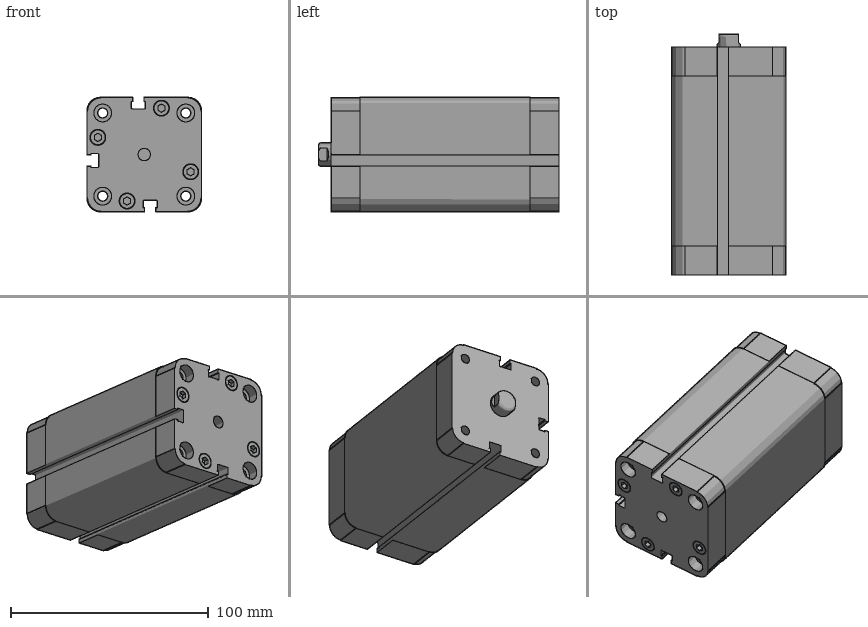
import cadquery as cq
import math


side = 58.1
cap_side = 58.0
overall_length = 122.0
rod_length = 6.5
housing_length = overall_length - rod_length
cap_length = 14.75
corner_radius = 7.0
cap_corner_radius = 6.6
half_side = side / 2
front_y = -overall_length / 2
rear_y = front_y + housing_length
corner_centre = half_side - corner_radius

slot_offset = 3.0
slot_mouth_width = 5.6
slot_inner_width = 7.0
slot_lip_thickness = 2.2
slot_depth = 5.9
slot_floor_radius = 0.4
slot_lip_radius = 0.3
slot_turns = (0, 90, 180)

mount_spacing = 42.1
mount_hole_diameter = 4.92
mount_bore_diameter = 9.0
mount_bore_depth = 5.7

screw_x = 8.7
screw_z = 23.5
screw_recess_diameter = 8.0
screw_head_diameter = 7.5
screw_head_height = 4.0
hex_across_flats = 3.6
hex_depth = 2.5
screw_turns = (0, 90, 180, 270)

centre_hole_diameter = 6.25
centre_hole_depth = 8.0

rod_diameter = 12.0
rod_end_radius = 1.5
rod_flat_width = 10.0
rod_flat_length = 4.3


def section(y):
    """Sketch plane across the axis at y: local x is X, local y is Z, extrusion runs toward -Y."""
    return cq.Workplane("XZ", origin=(0, y, 0))


def turned(shape, angle):
    """Turn a shape about the cylinder axis, from +Z toward -X."""
    return shape.rotate((0, 0, 0), (0, -1, 0), angle)


def make_body():
    body_length = housing_length - 2 * cap_length
    body = section(rear_y - cap_length).rect(side, side).extrude(body_length)
    return body.edges("|Y").fillet(corner_radius)


def make_cap(cap_rear_y):
    """Cap with nearly flush flat sides and round corners set back further from the body corners."""
    flat_length = 2 * corner_centre
    cap = section(cap_rear_y).rect(cap_side, flat_length).extrude(cap_length)
    cap = cap.union(section(cap_rear_y).rect(flat_length, cap_side).extrude(cap_length))
    corners = section(cap_rear_y).rect(flat_length, flat_length, forConstruction=True).vertices()
    return cap.union(corners.circle(cap_corner_radius).extrude(cap_length))


def make_slot_cutter():
    """T-slot for the top side, with rounded lips and floor corners."""
    mouth = slot_mouth_width / 2
    inner = slot_inner_width / 2
    lip_z = half_side - slot_lip_thickness
    floor_z = half_side - slot_depth
    lip_start_z = half_side - slot_lip_radius
    mouth_top = mouth + slot_lip_radius
    lip_mid = slot_lip_radius * (1 - math.sqrt(0.5))
    profile = (
        section(rear_y)
        .center(-slot_offset, 0)
        .moveTo(-inner, floor_z)
        .lineTo(inner, floor_z)
        .lineTo(inner, lip_z)
        .lineTo(mouth, lip_z)
        .lineTo(mouth, lip_start_z)
        .threePointArc((mouth + lip_mid, half_side - lip_mid), (mouth_top, half_side))
        .lineTo(-mouth_top, half_side)
        .threePointArc((-mouth - lip_mid, half_side - lip_mid), (-mouth, lip_start_z))
        .lineTo(-mouth, lip_z)
        .lineTo(-inner, lip_z)
        .close()
    )
    cutter = profile.extrude(housing_length)
    return cutter.edges("|Y and <Z").fillet(slot_floor_radius)


def cut_slots(part):
    cutter = make_slot_cutter()
    for angle in slot_turns:
        part = part.cut(turned(cutter, angle))
    return part


def mount_points(y):
    return section(y).rect(mount_spacing, mount_spacing, forConstruction=True).vertices()


def cut_mount_holes(part):
    """Corner holes through the whole housing, counterbored from the end cap."""
    part = part.cut(mount_points(rear_y).circle(mount_hole_diameter / 2).extrude(housing_length))
    bores = mount_points(front_y).circle(mount_bore_diameter / 2).extrude(-mount_bore_depth)
    return part.cut(bores)


def cut_screws(part):
    """Each screw head sits flush: a thin ring gap around it and a hexagon socket in it."""
    screw = section(front_y).center(screw_x, screw_z)
    gap = (
        screw.circle(screw_recess_diameter / 2)
        .circle(screw_head_diameter / 2)
        .extrude(-screw_head_height)
    )
    hex_corner_diameter = hex_across_flats / math.cos(math.radians(30))
    upright_socket = turned(section(front_y).polygon(6, hex_corner_diameter).extrude(-hex_depth), 90)
    for angle in screw_turns:
        part = part.cut(turned(gap, angle))
        socket = turned(upright_socket, -angle).translate((screw_x, 0, screw_z))
        part = part.cut(turned(socket, angle))
    return part


def cut_centre_hole(part):
    hole = section(front_y).circle(centre_hole_diameter / 2).extrude(-centre_hole_depth)
    return part.cut(hole)


def make_rod():
    """Rod end with a rounded tip and two wrench flats that run out at 45 degrees."""
    rod_radius = rod_diameter / 2
    tip_y = rear_y + rod_length
    flat = rod_flat_width / 2
    flat_end_y = tip_y - rod_flat_length
    runout_end_y = flat_end_y - (rod_radius - flat)
    rod = section(rear_y).circle(rod_radius).extrude(-rod_length)
    rod = rod.faces(">Y").edges().fillet(rod_end_radius)
    envelope = (
        cq.Workplane("XY", origin=(0, 0, -rod_radius))
        .moveTo(-rod_radius, rear_y)
        .lineTo(rod_radius, rear_y)
        .lineTo(rod_radius, runout_end_y)
        .lineTo(flat, flat_end_y)
        .lineTo(flat, tip_y)
        .lineTo(-flat, tip_y)
        .lineTo(-flat, flat_end_y)
        .lineTo(-rod_radius, runout_end_y)
        .close()
        .extrude(rod_diameter)
    )
    return rod.intersect(envelope)


housing = make_body().union(make_cap(front_y + cap_length)).union(make_cap(rear_y))
housing = cut_slots(housing)
housing = cut_mount_holes(housing)
housing = cut_screws(housing)
housing = cut_centre_hole(housing)
result = housing.union(make_rod())